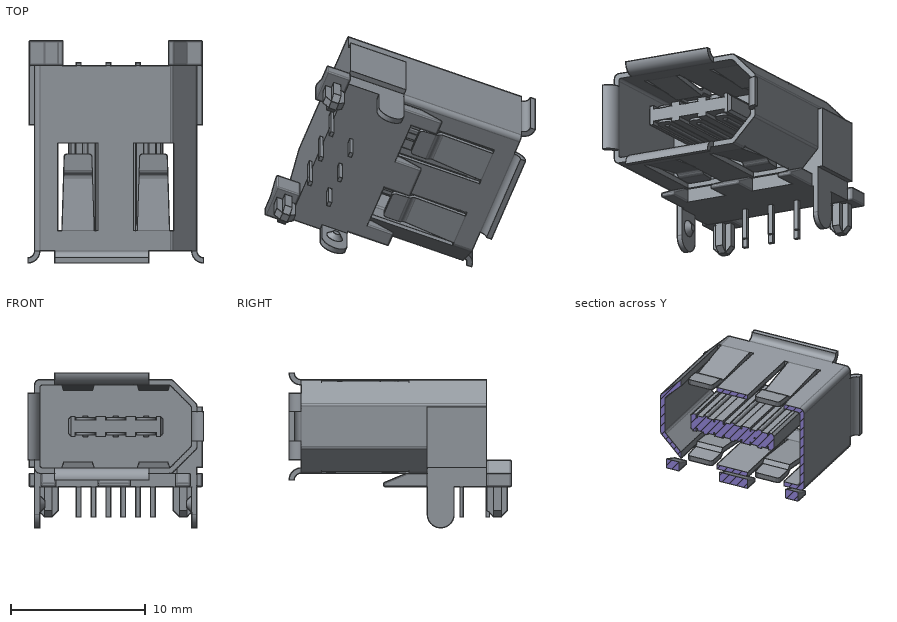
import cadquery as cq
import math


SHEET = 0.4
SHELL_HALF_WIDTH = 6.025
SHELL_BOTTOM = 1.0
SHELL_TOP = 7.95
SHELL_DEPTH = 13.75
SHELL_MID_Z = (SHELL_BOTTOM + SHELL_TOP) / 2
KEY_CHAMFER = 1.85
LEFT_CORNER_RADIUS = 0.4
KEY_CORNER_RADIUS = 0.3

LIP_RADIUS = 0.5
FLAT_LIP_WIDTH = 7.0
FLAT_LIP_X = -1.04
LEFT_LIP_WIDTH = 4.95
RIGHT_LIP_WIDTH = 2.2

WINDOW_X = 2.8
WINDOW_WIDTH = 3.0
WINDOW_FRONT = 1.5
WINDOW_BACK = 8.0
SPRING_ROOT_WIDTH = 2.4
SPRING_END_WIDTH = 2.05
SPRING_STEP_START_Y = 5.57
SPRING_STEP_END_Y = 5.84
SPRING_END_Y = 7.2
SPRING_DROP = 0.43
SPRING_STEP_DROP = 0.12
SPRING_END_DROP = 0.05
SPRING_BEND_RADIUS = 0.3
SPRING_CORNER = 0.25

INSULATOR_FRONT = 8.2
TONGUE_FRONT = 0.6
TONGUE_WIDTH = 7.0
TONGUE_HEIGHT = 1.48
TONGUE_CHAMFER = 0.2
TONGUE_NOSE_LENGTH = 0.28

CONTACT_PITCH = 2.25
CONTACT_WIDTH = 1.4
CONTACT_POCKET_WIDTH = 1.54
CONTACT_POCKET_DEPTH = 0.27
CONTACT_THICKNESS = 0.18
FIRST_CONTACT_SETBACK = 0.06
OTHER_CONTACT_SETBACK = 0.8
CONTACT_RIDGE_WIDTH = 0.4
CONTACT_RIDGE_RISE = 0.14
CONTACT_RIDGE_ROUNDING = 0.1

BASE_HALF_WIDTH = SHELL_HALF_WIDTH - SHEET
FOOT_TIP_Y = 6.125
FOOT_TIP_HEIGHT = 0.3
FOOT_SLOPE_END_Y = 7.8
OUTER_FOOT_INNER_X = 4.43
OUTER_FOOT_OUTER_X = 5.53
OUTER_FOOT_MID_X = (OUTER_FOOT_INNER_X + OUTER_FOOT_OUTER_X) / 2
FOOT_SPANS = [
    (-OUTER_FOOT_OUTER_X, -OUTER_FOOT_INNER_X),
    (-1.3, 1.1),
    (OUTER_FOOT_INNER_X, OUTER_FOOT_OUTER_X),
]
MOULDED_ROUNDING = 0.1
BLOCK_BACK = 15.6
BLOCK_INNER_X = 3.9
BLOCK_CREST_X = 4.3
BLOCK_LEDGE_HEIGHT = 1.0
BLOCK_HEIGHT = 1.97

BRACKET_HALF_WIDTH = SHELL_HALF_WIDTH + SHEET
BRACKET_FRONT = 9.35
BRACKET_TOP = 5.93
BRACKET_STEP_Z = 1.43
LEG_WIDTH = 2.0
LEG_BOTTOM = -3.05
KEY_FILL_X = 4.525
DIMPLE_Z = -1.28
DIMPLE_BASE_RADIUS = 0.62
DIMPLE_TIP_RADIUS = 0.25
DIMPLE_HEIGHT = 0.38

PIN_BOTTOM = -2.26

PEG_X = 5.0
PEG_Y = 14.55
PEG_SPAN = 1.5
PEG_ARM = 0.58
PEG_CHAMFER = 0.5

PIN_COUNT = 6
PIN_PITCH = 1.1
PIN_WIDTH = 0.36
PIN_THICKNESS = 0.27
PIN_REAR_Y = 13.84
PIN_FRONT_Y = 11.9


def box(x0, x1, y0, y1, z0, z1):
    return cq.Workplane("XY").box(x1 - x0, y1 - y0, z1 - z0, centered=False).translate((x0, y0, z0))


def mirror_x(solid):
    return solid.mirror("YZ")


def mirror_top_to_bottom(solid):
    return solid.mirror("XY", (0, 0, SHELL_MID_Z))


def shell_prism(inset, y0, y1):
    """Prism of the keyed shell outline, offset inwards by inset."""
    right = SHELL_HALF_WIDTH - inset
    bottom = SHELL_BOTTOM + inset
    top = SHELL_TOP - inset
    chamfer = KEY_CHAMFER - inset * (2 - math.sqrt(2))
    outline = [
        (-right, bottom),
        (right - chamfer, bottom),
        (right, bottom + chamfer),
        (right, top - chamfer),
        (right - chamfer, top),
        (-right, top),
    ]
    prism = cq.Workplane("XZ", (0, y0, 0)).polyline(outline).close().extrude(y0 - y1)
    prism = prism.edges("|Y and <X").fillet(LEFT_CORNER_RADIUS - inset / 2)
    key_corners = cq.selectors.BoxSelector((0, y0, 0), (2 * SHELL_HALF_WIDTH, y1, 2 * SHELL_TOP))
    return prism.edges("|Y").edges(key_corners).fillet(KEY_CORNER_RADIUS)


def lip(width):
    """Quarter-round lip flaring towards +Z from a wall whose outer face is at Z = 0, centred on X = 0."""
    outer = LIP_RADIUS + SHEET
    diagonal = math.sqrt(0.5)
    profile = (
        cq.Workplane("YZ", (-width / 2, 0, 0))
        .moveTo(0, 0)
        .lineTo(0, -SHEET)
        .threePointArc((-outer * diagonal, LIP_RADIUS - outer * diagonal), (-outer, LIP_RADIUS))
        .lineTo(-LIP_RADIUS, LIP_RADIUS)
        .threePointArc((-LIP_RADIUS * diagonal, LIP_RADIUS - LIP_RADIUS * diagonal), (0, 0))
        .close()
    )
    return profile.extrude(width)


def lips():
    about_y = ((0, 0, 0), (0, 1, 0))
    top = lip(FLAT_LIP_WIDTH).translate((FLAT_LIP_X, 0, SHELL_TOP))
    left = lip(LEFT_LIP_WIDTH).rotate(*about_y, -90).translate((-SHELL_HALF_WIDTH, 0, SHELL_MID_Z))
    right = lip(RIGHT_LIP_WIDTH).rotate(*about_y, 90).translate((SHELL_HALF_WIDTH, 0, SHELL_MID_Z))
    return [top, mirror_top_to_bottom(top), left, right]


def spring(x):
    """Bent leaf rooted at the front edge of a top window."""
    upper = [
        (WINDOW_FRONT, SHELL_TOP),
        (SPRING_STEP_START_Y, SHELL_TOP - SPRING_DROP),
        (SPRING_STEP_END_Y, SHELL_TOP - SPRING_STEP_DROP),
        (SPRING_END_Y, SHELL_TOP - SPRING_END_DROP),
    ]
    lower = [(y, z - SHEET) for y, z in reversed(upper)]
    leaf = cq.Workplane("YZ", (-WINDOW_WIDTH / 2, 0, 0)).polyline(upper + lower).close().extrude(WINDOW_WIDTH)
    for y, z in upper[1:3]:
        leaf = leaf.edges(cq.selectors.NearestToPointSelector((0, y, z))).fillet(SPRING_BEND_RADIUS)
    root = SPRING_ROOT_WIDTH / 2
    end = SPRING_END_WIDTH / 2
    plan = (
        cq.Workplane("XY")
        .polyline([(-root, WINDOW_FRONT), (root, WINDOW_FRONT), (end, SPRING_END_Y), (-end, SPRING_END_Y)])
        .close()
        .extrude(SHELL_TOP)
        .edges("|Z and >Y")
        .fillet(SPRING_CORNER)
    )
    return leaf.intersect(plan).translate((x, 0, 0))


def shell():
    """Keyed sheet-metal sleeve, solid behind the insulator front, with windows, springs and lips."""
    body = shell_prism(0, 0, SHELL_DEPTH).cut(shell_prism(SHEET, 0, INSULATOR_FRONT))
    half = WINDOW_WIDTH / 2
    for x in (-WINDOW_X, WINDOW_X):
        body = body.cut(box(x - half, x + half, WINDOW_FRONT, WINDOW_BACK, SHELL_BOTTOM, SHELL_TOP))
    for x in (-WINDOW_X, WINDOW_X):
        leaf = spring(x)
        body = body.union(leaf).union(mirror_top_to_bottom(leaf))
    for piece in lips():
        body = body.union(piece)
    return body


def contact(x, setback):
    """Contact with a rounded nose, lying in the upper tongue pocket."""
    radius = CONTACT_WIDTH / 2
    floor = SHELL_MID_Z + TONGUE_HEIGHT / 2 - CONTACT_POCKET_DEPTH
    nose_y = TONGUE_FRONT + setback + radius
    ridge_top = floor + CONTACT_THICKNESS + CONTACT_RIDGE_RISE
    strip = box(x - radius, x + radius, nose_y, INSULATOR_FRONT, floor, floor + CONTACT_THICKNESS)
    nose = cq.Workplane("XY", (x, nose_y, floor)).circle(radius).extrude(CONTACT_THICKNESS)
    half_ridge = CONTACT_RIDGE_WIDTH / 2
    ridge = box(x - half_ridge, x + half_ridge, nose_y, INSULATOR_FRONT, floor, ridge_top)
    ridge = ridge.faces("<Y or >Z").edges(">Z").fillet(CONTACT_RIDGE_ROUNDING)
    return strip.union(nose).union(ridge)


def tongue():
    """Tongue with contacts in pockets on both faces; the nose of the -X contact reaches furthest forward."""
    half = TONGUE_WIDTH / 2
    bottom = SHELL_MID_Z - TONGUE_HEIGHT / 2
    top = SHELL_MID_Z + TONGUE_HEIGHT / 2
    body = box(-half, half, TONGUE_FRONT, INSULATOR_FRONT, bottom, top)
    body = body.edges("|Y").chamfer(TONGUE_CHAMFER)
    corner = [
        (half - TONGUE_CHAMFER, TONGUE_FRONT),
        (half, TONGUE_FRONT),
        (half, TONGUE_FRONT + TONGUE_NOSE_LENGTH),
    ]
    corner_cut = cq.Workplane("XY").polyline(corner).close().extrude(SHELL_TOP)
    body = body.cut(corner_cut).cut(mirror_x(corner_cut))
    half_pocket = CONTACT_POCKET_WIDTH / 2
    for index in (-1, 0, 1):
        x = index * CONTACT_PITCH
        setback = FIRST_CONTACT_SETBACK if index == -1 else OTHER_CONTACT_SETBACK
        floor = top - CONTACT_POCKET_DEPTH
        pocket = box(x - half_pocket, x + half_pocket, TONGUE_FRONT, INSULATOR_FRONT, floor, top)
        body = body.cut(pocket).cut(mirror_top_to_bottom(pocket))
        upper = contact(x, setback)
        body = body.union(upper).union(mirror_top_to_bottom(upper))
    return body


def base():
    """Board-side slab, narrower ahead of the brackets, with three sloped feet reaching forward."""
    rear = box(-BASE_HALF_WIDTH, BASE_HALF_WIDTH, BRACKET_FRONT, SHELL_DEPTH, 0, SHELL_BOTTOM)
    front = box(-OUTER_FOOT_MID_X, OUTER_FOOT_MID_X, INSULATOR_FRONT, BRACKET_FRONT, 0, SHELL_BOTTOM)
    body = rear.union(front)
    side = [
        (FOOT_TIP_Y, 0),
        (BRACKET_FRONT, 0),
        (BRACKET_FRONT, SHELL_BOTTOM),
        (FOOT_SLOPE_END_Y, SHELL_BOTTOM),
        (FOOT_TIP_Y, FOOT_TIP_HEIGHT),
    ]
    for x0, x1 in FOOT_SPANS:
        foot = cq.Workplane("YZ", (x0, 0, 0)).polyline(side).close().extrude(x1 - x0)
        body = body.union(foot.edges("not >Y").fillet(MOULDED_ROUNDING))
    return body


def rear_block():
    """Right-hand block behind the shell, with a 45 degree ramp down to an outer ledge."""
    ramp = BLOCK_HEIGHT - BLOCK_LEDGE_HEIGHT
    outline = [
        (BLOCK_INNER_X, 0),
        (BRACKET_HALF_WIDTH, 0),
        (BRACKET_HALF_WIDTH, BLOCK_LEDGE_HEIGHT),
        (BLOCK_CREST_X + ramp, BLOCK_LEDGE_HEIGHT),
        (BLOCK_CREST_X, BLOCK_HEIGHT),
        (BLOCK_INNER_X, BLOCK_HEIGHT),
    ]
    profile = cq.Workplane("XZ", (0, SHELL_DEPTH, 0)).polyline(outline).close()
    block = profile.extrude(SHELL_DEPTH - BLOCK_BACK)
    return block.edges().fillet(MOULDED_ROUNDING)


def peg():
    """Right-hand cross-shaped peg with tapered arm ends."""
    half = PEG_SPAN / 2
    tip = half - PEG_CHAMFER
    side = [
        (-half, 0),
        (half, 0),
        (half, PIN_BOTTOM + PEG_CHAMFER),
        (tip, PIN_BOTTOM),
        (-tip, PIN_BOTTOM),
        (-half, PIN_BOTTOM + PEG_CHAMFER),
    ]
    arm = cq.Workplane("XZ").polyline(side).close().extrude(PEG_ARM / 2, both=True)
    cross = arm.union(arm.rotate((0, 0, 0), (0, 0, 1), 90))
    return cross.translate((PEG_X, PEG_Y, 0))


def bracket():
    """Right-hand plate outside the shell, stepping inwards to a round-ended leg with an inner dimple."""
    plate = box(SHELL_HALF_WIDTH, BRACKET_HALF_WIDTH, BRACKET_FRONT, SHELL_DEPTH, BRACKET_STEP_Z, BRACKET_TOP)
    skirt = box(BASE_HALF_WIDTH, SHELL_HALF_WIDTH, BRACKET_FRONT, SHELL_DEPTH, 0, SHELL_MID_Z)
    radius = LEG_WIDTH / 2
    leg_y = BRACKET_FRONT + radius
    end_z = LEG_BOTTOM + radius
    leg = box(BASE_HALF_WIDTH, SHELL_HALF_WIDTH, BRACKET_FRONT, BRACKET_FRONT + LEG_WIDTH, end_z, 0)
    leg_end = cq.Workplane("YZ", (BASE_HALF_WIDTH, leg_y, end_z)).circle(radius).extrude(SHEET)
    dimple = cq.Workplane(cq.Solid.makeCone(
        DIMPLE_BASE_RADIUS,
        DIMPLE_TIP_RADIUS,
        DIMPLE_HEIGHT,
        cq.Vector(BASE_HALF_WIDTH, leg_y, DIMPLE_Z),
        cq.Vector(-1, 0, 0),
    ))
    return plate.union(skirt).union(leg).union(leg_end).union(dimple)


def key_fill():
    """Fill under the lower keyed corner, between the shell and the right bracket."""
    return box(KEY_FILL_X, BASE_HALF_WIDTH, BRACKET_FRONT, SHELL_DEPTH, 0, SHELL_BOTTOM + KEY_CHAMFER)


def pin(index):
    """Solder pin; even ones stand in the rear row, odd ones in the front row."""
    x = (index - (PIN_COUNT - 1) / 2) * PIN_PITCH
    y = PIN_REAR_Y if index % 2 == 0 else PIN_FRONT_Y
    half_width = PIN_WIDTH / 2
    half_thick = PIN_THICKNESS / 2
    return box(x - half_width, x + half_width, y - half_thick, y + half_thick, PIN_BOTTOM, SHELL_BOTTOM)


result = shell().union(tongue()).union(base())
for right_piece in (bracket(), rear_block(), peg()):
    result = result.union(right_piece).union(mirror_x(right_piece))
result = result.union(key_fill())
for pin_index in range(PIN_COUNT):
    result = result.union(pin(pin_index))